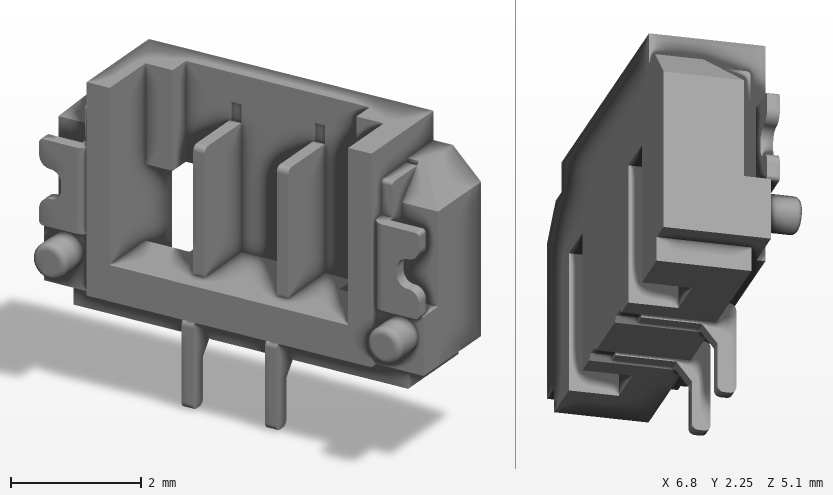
import cadquery as cq


SHELL_WIDTH = 5.1
SHELL_DEPTH = 1.85
SHELL_HEIGHT = 3.605
SIDE_WALL = 0.415
BACK_WALL = 0.4
FLOOR = 0.61
CAVITY_WIDTH = SHELL_WIDTH - 2 * SIDE_WALL
CAVITY_DEPTH = SHELL_DEPTH - BACK_WALL

PILLAR_WIDTH = 0.49
PILLAR_FRONT = 1.055
WINDOW_WIDTH = 0.795
WINDOW_TOP = 1.905

FOOT_WIDTH = 6.0
FOOT_FRONT = 0.35
FOOT_HEIGHT = 0.395

OVERALL_WIDTH = 6.8
EAR_HEIGHT = 3.11
EAR_FRONT = 0.57
EAR_CHAMFER = 0.5
LEDGE_FRONT = 0.14
LEDGE_HEIGHT = 1.0

PEG_DIAMETER = 0.6
PEG_LENGTH = 0.4
PEG_X = FOOT_WIDTH / 2
PEG_Z = 0.605

SHEET = 0.205
EDGE_ROUND = 0.1

CONTACT_PITCH = 1.495
CONTACT_X = (-CONTACT_PITCH / 2, CONTACT_PITCH / 2)
BLADE_FRONT = FOOT_FRONT
BLADE_TOP = 2.8
BLADE_BACK = 1.51
SLOT_TOP = 3.11
FLARE_WIDTH = 0.1
FLARE_HEIGHT = 0.08
LEG_DEPTH = 0.3
LEG_BOTTOM = -1.495
LEG_SHOULDER_DEPTH = 0.545
LEG_SHOULDER_DROP = 0.3

TAB_BACK = EAR_FRONT + EAR_CHAMFER
TAB_BLADE_FRONT = 0.29
TAB_BLADE_TOP = 3.05
TAB_FLANGE_TOP = 2.455
BEND_RADIUS = 0.2
TAB_ROUND = 0.06
NOTCH_ROUND = 0.2
NOTCH_FLAT = 0.11

SIDES = (-1, 1)


def block(x_range, y_range, z_range):
    """Axis-aligned box given by its two limits along each axis."""
    (x0, x1), (y0, y1), (z0, z1) = [sorted(limits) for limits in (x_range, y_range, z_range)]
    return cq.Workplane("XY").box(x1 - x0, y1 - y0, z1 - z0, centered=False).translate((x0, y0, z0))


def make_shell():
    half_width = SHELL_WIDTH / 2
    half_cavity = CAVITY_WIDTH / 2
    shell = block((-half_width, half_width), (0, SHELL_DEPTH), (0, SHELL_HEIGHT))
    shell = shell.cut(block((-half_cavity, half_cavity), (0, CAVITY_DEPTH), (FLOOR, SHELL_HEIGHT)))
    half_foot = FOOT_WIDTH / 2
    shell = shell.union(block((-half_foot, half_foot), (FOOT_FRONT, SHELL_DEPTH), (-FOOT_HEIGHT, 0)))
    for side in SIDES:
        wall = side * half_cavity
        pillar_x = (wall, wall - side * PILLAR_WIDTH)
        window_x = (wall, wall - side * WINDOW_WIDTH)
        shell = shell.union(block(pillar_x, (PILLAR_FRONT, CAVITY_DEPTH), (WINDOW_TOP, SHELL_HEIGHT)))
        shell = shell.cut(block(window_x, (PILLAR_FRONT, SHELL_DEPTH), (-FOOT_HEIGHT, WINDOW_TOP)))
    return shell


def make_ear(side):
    """Ear with a ledge in front, its top beveled outward and forward, slotted next to the shell."""
    inner = side * SHELL_WIDTH / 2
    outer = side * OVERALL_WIDTH / 2
    ear = block((inner, outer), (EAR_FRONT, SHELL_DEPTH), (0, EAR_HEIGHT))
    outer_top_edge = ">X and >Z" if side > 0 else "<X and >Z"
    ear = ear.edges(outer_top_edge).chamfer(EAR_CHAMFER)
    ear = ear.faces(">Z").edges("<Y").chamfer(EAR_CHAMFER)
    slot = block((inner, inner + side * SHEET), (0, TAB_BACK), (LEDGE_HEIGHT, EAR_HEIGHT))
    ledge = block((inner, outer), (LEDGE_FRONT, SHELL_DEPTH), (0, LEDGE_HEIGHT))
    return ear.cut(slot).union(ledge)


def make_peg(side):
    peg = cq.Workplane("XZ").circle(PEG_DIAMETER / 2).extrude(PEG_LENGTH + LEDGE_FRONT)
    peg = peg.faces("<Y").edges().fillet(EDGE_ROUND)
    return peg.translate((side * PEG_X, LEDGE_FRONT, PEG_Z))


def make_contact_slot(x):
    """Slot through floor and foot and into the back wall, with a flared groove under the foot."""
    half = SHEET / 2
    slot = block((x - half, x + half), (BLADE_FRONT, BLADE_BACK), (-FOOT_HEIGHT, SLOT_TOP))
    flare = (
        cq.Workplane("XZ", origin=(x, FOOT_FRONT, -FOOT_HEIGHT))
        .moveTo(-half - FLARE_WIDTH, 0)
        .lineTo(half + FLARE_WIDTH, 0)
        .lineTo(half, FLARE_HEIGHT)
        .lineTo(-half, FLARE_HEIGHT)
        .close()
        .extrude(FOOT_FRONT - SHELL_DEPTH)
    )
    return slot.union(flare)


def make_housing():
    housing = make_shell()
    for side in SIDES:
        housing = housing.union(make_ear(side)).union(make_peg(side))
    for x in CONTACT_X:
        housing = housing.cut(make_contact_slot(x))
    return housing


def make_contact(x):
    """Flat contact: blade in the cavity, cranked forward under the shell into a solder leg."""
    shoulder_z = -FOOT_HEIGHT
    contact = (
        cq.Workplane("YZ", origin=(x - SHEET / 2, 0, 0))
        .moveTo(0, LEG_BOTTOM)
        .lineTo(0, 0)
        .lineTo(BLADE_FRONT, 0)
        .lineTo(BLADE_FRONT, BLADE_TOP)
        .lineTo(BLADE_BACK, BLADE_TOP)
        .lineTo(BLADE_BACK, shoulder_z)
        .lineTo(LEG_SHOULDER_DEPTH, shoulder_z)
        .lineTo(LEG_DEPTH, shoulder_z - LEG_SHOULDER_DROP)
        .lineTo(LEG_DEPTH, LEG_BOTTOM)
        .close()
        .extrude(SHEET)
    )
    contact = contact.faces(">Z or <Z").edges("|X").fillet(EDGE_ROUND)
    return contact.edges("|X and <Y").edges(">Z").fillet(EDGE_ROUND)


def make_notch(outer, z):
    """Cutter for a notch in the +X flange edge: rounded bottom and rounded lips."""
    r = NOTCH_ROUND
    flat = NOTCH_FLAT / 2
    return (
        cq.Workplane("XZ", origin=(outer, 0, z))
        .moveTo(0, flat + 2 * r)
        .radiusArc((-r, flat + r), r)
        .radiusArc((-2 * r, flat), -r)
        .lineTo(-2 * r, -flat)
        .radiusArc((-r, -flat - r), -r)
        .radiusArc((0, -flat - 2 * r), r)
        .close()
        .extrude(-SHEET)
    )


def make_tab(side):
    """L-shaped solder tab: blade along the shell wall, flange bent outward at the front."""
    inner = SHELL_WIDTH / 2
    outer = OVERALL_WIDTH / 2
    blade = block((inner, inner + SHEET), (TAB_BLADE_FRONT, TAB_BACK), (LEDGE_HEIGHT, TAB_BLADE_TOP))
    blade = blade.faces(">Z").edges("|X").fillet(TAB_ROUND)
    bend = block((inner, inner + SHEET), (0, TAB_BLADE_FRONT), (LEDGE_HEIGHT, TAB_FLANGE_TOP))
    flange = block((inner, outer), (0, SHEET), (LEDGE_HEIGHT, TAB_FLANGE_TOP))
    flange = flange.edges("|Y and >X").fillet(TAB_ROUND)
    flange_middle = (LEDGE_HEIGHT + TAB_FLANGE_TOP) / 2
    flange = flange.cut(make_notch(outer, flange_middle))
    bent = flange.union(bend).edges("|Z and <X and <Y").fillet(BEND_RADIUS)
    tab = blade.union(bent)
    return tab if side > 0 else tab.mirror("YZ")


housing = make_housing()
contacts = [make_contact(x) for x in CONTACT_X]
tabs = [make_tab(side) for side in SIDES]

result = cq.Compound.makeCompound(
    [housing.val(), *[contact.val() for contact in contacts], *[tab.val() for tab in tabs]]
)